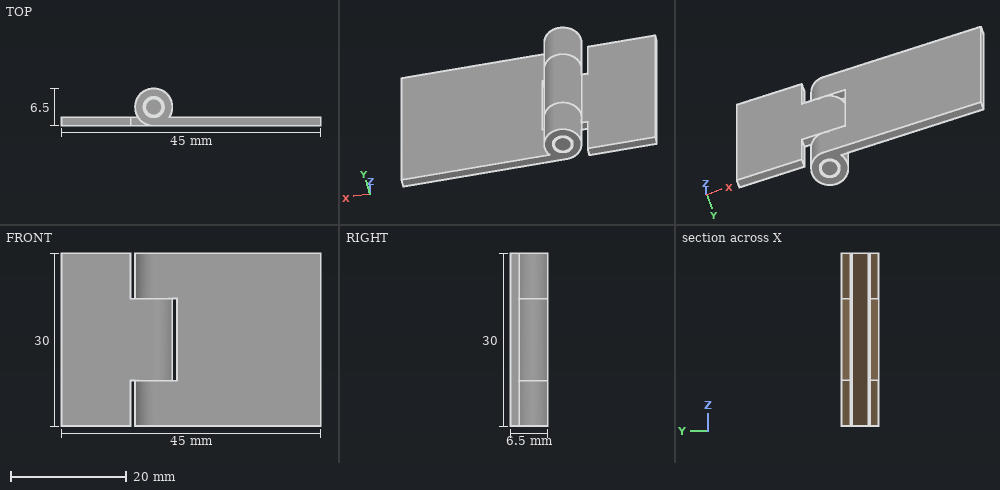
import cadquery as cq

height = 30.0
narrow_leaf_width = 16.0
wide_leaf_width = 29.0
leaf_thickness = 1.5

barrel_diameter = 6.5
barrel_radius = barrel_diameter / 2
bore_diameter = barrel_diameter - 2 * leaf_thickness
pin_diameter = 3.0

middle_knuckle_height = 14.25
end_knuckle_height = (height - middle_knuckle_height) / 2
notch_reach = 4.0

middle_knuckle_bottom = end_knuckle_height
upper_knuckle_bottom = height - end_knuckle_height


def block(x_start, x_end, z_bottom, block_height):
    """Flat stretch of leaf whose -Y face is tangent to the barrel."""
    return (
        cq.Workplane("XY")
        .box(x_end - x_start, leaf_thickness, block_height, centered=False)
        .translate((x_start, -barrel_radius, z_bottom))
    )


def cylinder(diameter, z_bottom, cylinder_height):
    """Solid cylinder on the barrel axis."""
    return cq.Workplane("XY").workplane(offset=z_bottom).circle(diameter / 2).extrude(cylinder_height)


bore = cylinder(bore_diameter, 0, height)

narrow_leaf = (
    block(-narrow_leaf_width, -notch_reach, 0, height)
    .union(block(-notch_reach, 0, middle_knuckle_bottom, middle_knuckle_height))
    .union(cylinder(barrel_diameter, middle_knuckle_bottom, middle_knuckle_height))
    .cut(bore)
)

wide_leaf = block(notch_reach, wide_leaf_width, 0, height)
for knuckle_bottom in (0, upper_knuckle_bottom):
    wide_leaf = wide_leaf.union(block(0, notch_reach, knuckle_bottom, end_knuckle_height))
    wide_leaf = wide_leaf.union(cylinder(barrel_diameter, knuckle_bottom, end_knuckle_height))
wide_leaf = wide_leaf.cut(bore)

pin = cylinder(pin_diameter, 0, height)

result = cq.Compound.makeCompound([narrow_leaf.val(), wide_leaf.val(), pin.val()])